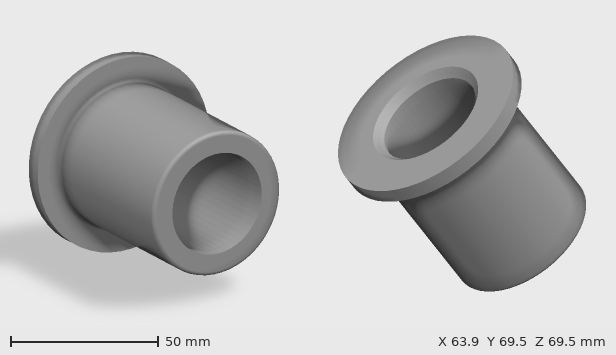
import cadquery as cq

total_length = 63.9
flange_diameter = 69.45
flange_thickness = 5.55
barrel_diameter = 51.4
bore_diameter = 36.1
bore_mouth_diameter = 41.7
neck_fillet_radius = 1.4
end_round_radius = 1.4

flange_radius = flange_diameter / 2
barrel_radius = barrel_diameter / 2
bore_radius = bore_diameter / 2
bore_mouth_radius = bore_mouth_diameter / 2
bore_chamfer = bore_mouth_radius - bore_radius

half_section = (
    cq.Workplane("XY")
    .moveTo(0, bore_mouth_radius)
    .lineTo(0, flange_radius)
    .lineTo(flange_thickness, flange_radius)
    .lineTo(flange_thickness, barrel_radius + neck_fillet_radius)
    .radiusArc((flange_thickness + neck_fillet_radius, barrel_radius), -neck_fillet_radius)
    .lineTo(total_length - end_round_radius, barrel_radius)
    .radiusArc((total_length, barrel_radius - end_round_radius), end_round_radius)
    .lineTo(total_length, bore_radius)
    .lineTo(bore_chamfer, bore_radius)
    .close()
)

result = half_section.revolve(360, (0, 0, 0), (1, 0, 0))